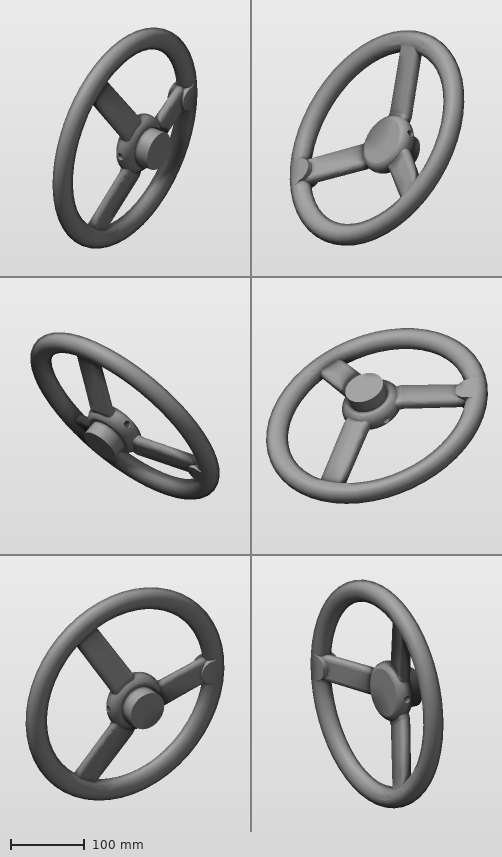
import cadquery as cq
import math


wheel_radius = 157.5
rim_width = 26.0
rim_inner_depth = 17.0
rim_half_width = rim_width / 2
rim_mid_radius = wheel_radius - rim_half_width

hub_front = 23.3
hub_back = 49.8
hub_face_radius = 32.8
hub_radius = 42.0
hub_mid = 35.3
shaft_diameter = 54.0
total_depth = 70.0

spoke_count = 3
spoke_pitch = 360 / spoke_count
spoke_thickness = 15.5
spoke_corner = 7.0
spoke_hub_width = 38.7
spoke_rim_width = 37.2
spoke_root = 28.5
spoke_bend = 44.0
spoke_tip = 135.5
spoke_mid_at_hub = 37.0
spoke_slope = 0.29
spoke_length = spoke_tip - spoke_bend
spoke_shift = spoke_slope * spoke_length

hole_diameter = 10.0
hole_depth = 9.5
drill_tip_angle = 118

pad_radius = 16.7
pad_centre = 132.5
pad_flare = 10.0
pad_flare_end = 140.8
pad_outer = 142.7
pad_outer_half_width = 22.0


def make_rim():
    """Revolve the rim section, drawn as (x, radius), about X."""
    return (
        cq.Workplane("XZ")
        .moveTo(0, rim_mid_radius)
        .threePointArc((rim_half_width, wheel_radius), (rim_width, rim_mid_radius))
        .ellipseArc(rim_half_width, rim_inner_depth, 180, 360, sense=-1, startAtCurrent=True)
        .close()
        .revolve(360, (0, 0, 0), (1, 0, 0))
    )


def bulge_radius(width):
    """Radius of an arc that rises from the hub face to its peak over this width."""
    rise = hub_radius - hub_face_radius
    return (width**2 + rise**2) / (2 * rise)


def make_hub():
    """Revolve the hub and shaft boss; the bulge is two arcs meeting at its peak."""
    return (
        cq.Workplane("XZ")
        .moveTo(hub_front, 0)
        .lineTo(hub_front, hub_face_radius)
        .radiusArc((hub_mid, hub_radius), bulge_radius(hub_mid - hub_front))
        .radiusArc((hub_back, hub_face_radius), bulge_radius(hub_back - hub_mid))
        .lineTo(hub_back, shaft_diameter / 2)
        .lineTo(total_depth, shaft_diameter / 2)
        .lineTo(total_depth, 0)
        .close()
        .revolve(360, (0, 0, 0), (1, 0, 0))
    )


def spoke_section(width):
    return cq.Sketch().rect(spoke_thickness, width).vertices().fillet(spoke_corner)


def make_spoke():
    """Spoke along +Y: a straight root, then a tapered arm leaning toward -X."""
    bend_plane = cq.Plane((spoke_mid_at_hub, spoke_bend, 0), xDir=(1, 0, 0), normal=(0, 1, 0))
    hub_section = spoke_section(spoke_hub_width)
    rim_section = spoke_section(spoke_rim_width).moved(
        cq.Location(cq.Vector(-spoke_shift, 0, spoke_length))
    )
    root = cq.Workplane(bend_plane).placeSketch(hub_section).extrude(spoke_root - spoke_bend)
    arm = cq.Workplane(bend_plane).placeSketch(hub_section, rim_section).loft()
    return root.union(arm)


def make_hole():
    """Drill with a conical tip, entering the hub from -Y."""
    radius = hole_diameter / 2
    tip_length = radius / math.tan(math.radians(drill_tip_angle / 2))
    floor = hole_depth - hub_radius
    return (
        cq.Workplane("XY")
        .moveTo(hub_mid, -hub_radius - hole_diameter)
        .lineTo(hub_mid + radius, -hub_radius - hole_diameter)
        .lineTo(hub_mid + radius, floor)
        .lineTo(hub_mid, floor + tip_length)
        .close()
        .revolve(360, (hub_mid, 0, 0), (hub_mid, 1, 0))
    )


def make_pad():
    """Round-nosed pad that flares into the rim, over the full rim width."""
    flare_run = pad_flare_end - pad_centre
    flare_rise = pad_flare - math.sqrt(pad_flare**2 - flare_run**2)
    flare_end = (pad_flare_end, pad_radius + flare_rise)
    return (
        cq.Workplane("YZ")
        .moveTo(pad_centre, -pad_radius)
        .threePointArc((pad_centre - pad_radius, 0), (pad_centre, pad_radius))
        .tangentArcPoint(flare_end, relative=False)
        .lineTo(pad_outer, pad_outer_half_width)
        .lineTo(pad_outer, -pad_outer_half_width)
        .lineTo(flare_end[0], -flare_end[1])
        .radiusArc((pad_centre, -pad_radius), pad_flare)
        .close()
        .extrude(rim_width)
    )


def around_axis(shape, index):
    return shape.rotate((0, 0, 0), (1, 0, 0), index * spoke_pitch)


result = make_rim().union(make_hub()).union(make_pad())
spoke = make_spoke()
hole = make_hole()
for index in range(spoke_count):
    result = result.union(around_axis(spoke, index))
for index in range(spoke_count):
    result = result.cut(around_axis(hole, index))